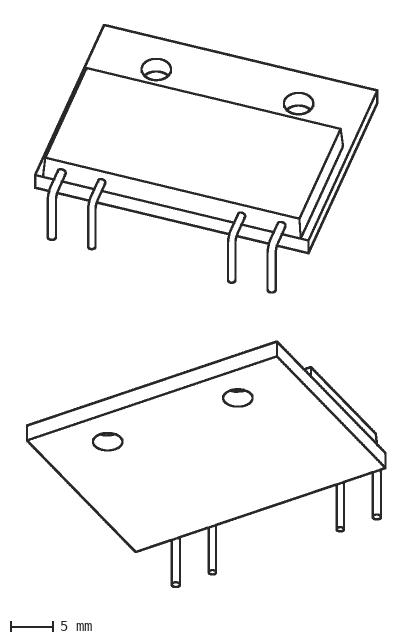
import cadquery as cq
import math

plate_width = 34.2
plate_depth = 26.0
plate_thickness = 2.2
hole_diameter = 3.5
hole_spacing = 17.8
hole_edge_distance = 5.0

case_width = 32.25
case_depth = 16.0
case_height = 3.13
draft_setback = 0.23

wide_pin_diameter = 1.0
narrow_pin_diameter = 0.9
wide_pin_spacing = 27.5
narrow_pin_spacing = 17.5
pin_axis_below_top = 1.55
pin_reach = 3.77
pin_bend_radius = 1.0
pin_drop_below_plate = 3.6

case_top_z = plate_thickness + case_height
pin_axis_z = case_top_z - pin_axis_below_top
draft_angle = math.degrees(math.atan(draft_setback / case_height))


def make_plate():
    """Flat plate with two through holes behind the case."""
    blank = cq.Workplane("XY").box(plate_width, plate_depth, plate_thickness, centered=(True, False, False))
    hole_y = plate_depth - hole_edge_distance
    hole_centres = [(-hole_spacing / 2, hole_y), (hole_spacing / 2, hole_y)]
    holes = cq.Workplane("XY").pushPoints(hole_centres).circle(hole_diameter / 2).extrude(plate_thickness)
    return blank.cut(holes)


def make_case():
    """Solid block that narrows upwards on all four sides."""
    return (
        cq.Workplane("XY", origin=(0, case_depth / 2, plate_thickness))
        .rect(case_width, case_depth)
        .extrude(case_height, taper=draft_angle)
    )


def make_pin(x, diameter):
    """Round wire bent through a right angle, with its flat inner end level with the plate front edge."""
    bend_start_y = pin_bend_radius - pin_reach
    bend_end_z = pin_axis_z - pin_bend_radius
    path = (
        cq.Workplane("YZ", origin=(x, 0, 0))
        .moveTo(0, pin_axis_z)
        .lineTo(bend_start_y, pin_axis_z)
        .radiusArc((-pin_reach, bend_end_z), -pin_bend_radius)
        .lineTo(-pin_reach, -pin_drop_below_plate)
    )
    return (
        cq.Workplane("XZ", origin=(x, 0, pin_axis_z))
        .circle(diameter / 2)
        .sweep(path)
    )


plate = make_plate()
case = make_case()

pins = []
for diameter, spacing in [
    (wide_pin_diameter, wide_pin_spacing),
    (narrow_pin_diameter, narrow_pin_spacing),
]:
    for side in (-1, 1):
        pins.append(make_pin(side * spacing / 2, diameter).val())

result = cq.Compound.makeCompound([plate.val(), case.val(), *pins])